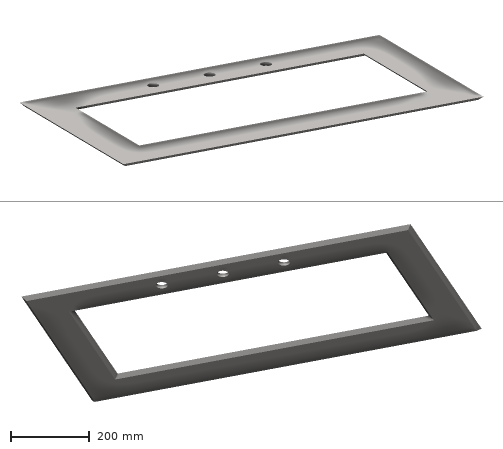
import cadquery as cq

length = 1050.0
width = 540.0
thickness = 10.0
border = 105.0

hole_diameter = 30.0
hole_spacing = 165.0
hole_count = 3
hole_x = -width / 2 + border / 2


def tapered_block(top_width, top_length, growth):
    """Block whose four sides slope at 45 degrees, growing from top to bottom by growth per side."""
    return (
        cq.Workplane("XY")
        .rect(top_width + 2 * growth, top_length + 2 * growth)
        .workplane(offset=thickness)
        .rect(top_width, top_length)
        .loft(ruled=True, combine=True)
    )


plate = tapered_block(width, length, -thickness)
window = tapered_block(width - 2 * border, length - 2 * border, thickness)

holes = (
    cq.Workplane("XY")
    .center(hole_x, 0)
    .rarray(10, hole_spacing, 1, hole_count)
    .circle(hole_diameter / 2)
    .extrude(thickness)
)

result = plate.cut(window).cut(holes)